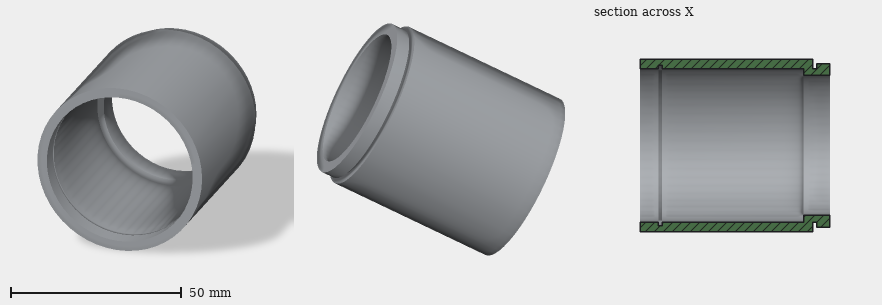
import cadquery as cq

total_length = 55.8
body_diameter = 50.8
bore_diameter = 41.0

collar_diameter = 48.1
collar_length = 4.0
neck_diameter = 45.2
neck_length = 1.0
body_length = total_length - collar_length - neck_length

recess_diameter = 45.0
shoulder_overlap = 2.8
recess_depth = body_length - shoulder_overlap

groove_diameter = 47.0
groove_start = 5.45
groove_width = 1.0


def cylinder(diameter, start, length):
    """Solid cylinder along +Y, beginning at Y = start."""
    front_plane = cq.Workplane("XZ", origin=(0, start, 0))
    return front_plane.circle(diameter / 2).extrude(-length)


body = cylinder(body_diameter, 0, body_length)
neck = cylinder(neck_diameter, body_length, neck_length)
collar = cylinder(collar_diameter, body_length + neck_length, collar_length)

bore = cylinder(bore_diameter, 0, total_length)
recess = cylinder(recess_diameter, 0, recess_depth)
groove = cylinder(groove_diameter, groove_start, groove_width)

result = body.union(neck).union(collar).cut(bore).cut(recess).cut(groove)